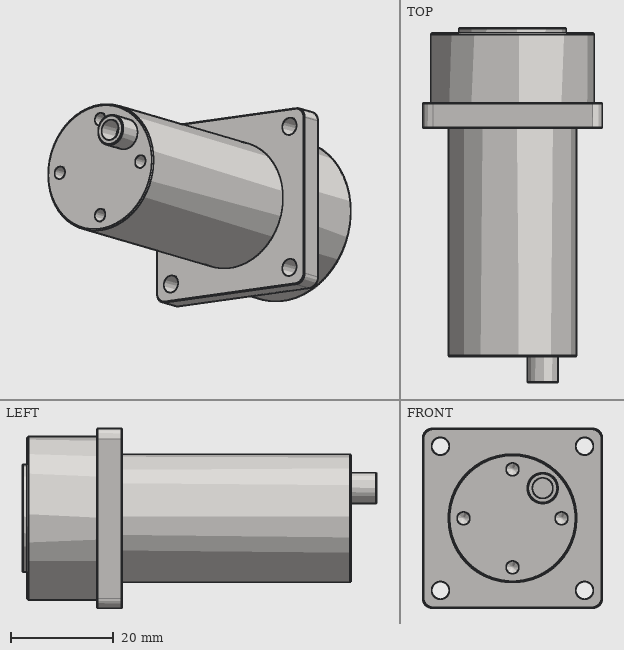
import cadquery as cq
import math

OUTLET_LENGTH = 5.05
BODY_LENGTH = 44.45
FLANGE_THICKNESS = 5.0
HEAD_LENGTH = 13.6
OVERALL_LENGTH = 69.0
FACE_LENGTH = OVERALL_LENGTH - OUTLET_LENGTH - BODY_LENGTH - FLANGE_THICKNESS - HEAD_LENGTH

BODY_DIAMETER = 25.0
BODY_CHAMFER = 0.3
HEAD_DIAMETER = 31.9
HEAD_CHAMFER = 0.35
FACE_DIAMETER = 21.0
FACE_CHAMFER = 0.2

FLANGE_SIDE = 35.0
FLANGE_CORNER_RADIUS = 2.0
FLANGE_CHAMFER = 0.2
MOUNT_HOLE_SPACING = 28.0
MOUNT_HOLE_DIAMETER = 3.4

REAR_HOLE_COUNT = 4
REAR_HOLE_DIAMETER = 2.5
REAR_HOLE_CIRCLE_RADIUS = 9.5
REAR_HOLE_DEPTH = 6.0
DRILL_POINT_ANGLE = 118

OUTLET_OFFSET = 5.85
OUTLET_DIAMETER = 6.0
OUTLET_CHAMFER = 0.2
OUTLET_BORE_DIAMETER = 4.0

REAR_Y = OUTLET_LENGTH
FLANGE_Y = REAR_Y + BODY_LENGTH
HEAD_Y = FLANGE_Y + FLANGE_THICKNESS
FACE_Y = HEAD_Y + HEAD_LENGTH

AXIS = cq.Vector(0, 1, 0)


def cylinder(diameter, length, y, x=0, z=0):
    """Solid cylinder running from y towards +Y."""
    return cq.Workplane(cq.Solid.makeCylinder(diameter / 2, length, cq.Vector(x, y, z), AXIS))


def make_flange():
    flange = (
        cq.Workplane("XY")
        .box(FLANGE_SIDE, FLANGE_THICKNESS, FLANGE_SIDE)
        .translate((0, FLANGE_Y + FLANGE_THICKNESS / 2, 0))
        .edges("|Y")
        .fillet(FLANGE_CORNER_RADIUS)
        .faces("<Y or >Y")
        .chamfer(FLANGE_CHAMFER)
    )
    for x_side in (-1, 1):
        for z_side in (-1, 1):
            flange = flange.cut(
                cylinder(
                    MOUNT_HOLE_DIAMETER,
                    FLANGE_THICKNESS,
                    FLANGE_Y,
                    x_side * MOUNT_HOLE_SPACING / 2,
                    z_side * MOUNT_HOLE_SPACING / 2,
                )
            )
    return flange


def make_drilled_hole(x, z):
    """Blind hole from the rear face, ending in a drill point."""
    radius = REAR_HOLE_DIAMETER / 2
    point_length = radius / math.tan(math.radians(DRILL_POINT_ANGLE / 2))
    point_base = cq.Vector(x, REAR_Y + REAR_HOLE_DEPTH, z)
    point = cq.Solid.makeCone(radius, 0, point_length, point_base, AXIS)
    return cylinder(REAR_HOLE_DIAMETER, REAR_HOLE_DEPTH, REAR_Y, x, z).union(cq.Workplane(point))


def make_outlet():
    outlet = cylinder(OUTLET_DIAMETER, OUTLET_LENGTH, 0, OUTLET_OFFSET, OUTLET_OFFSET)
    outlet = outlet.faces("<Y").chamfer(OUTLET_CHAMFER)
    bore = cylinder(OUTLET_BORE_DIAMETER, OUTLET_LENGTH, 0, OUTLET_OFFSET, OUTLET_OFFSET)
    return outlet.cut(bore)


body = cylinder(BODY_DIAMETER, BODY_LENGTH, REAR_Y).faces("<Y").chamfer(BODY_CHAMFER)
for index in range(REAR_HOLE_COUNT):
    angle = index * 2 * math.pi / REAR_HOLE_COUNT
    hole_x = REAR_HOLE_CIRCLE_RADIUS * math.cos(angle)
    hole_z = REAR_HOLE_CIRCLE_RADIUS * math.sin(angle)
    body = body.cut(make_drilled_hole(hole_x, hole_z))

head = cylinder(HEAD_DIAMETER, HEAD_LENGTH, HEAD_Y).faces(">Y").chamfer(HEAD_CHAMFER)
face = cylinder(FACE_DIAMETER, FACE_LENGTH, FACE_Y).faces(">Y").chamfer(FACE_CHAMFER)

part = body.union(make_flange()).union(head).union(face).union(make_outlet())
result = part.translate((0, -OVERALL_LENGTH / 2, 0))